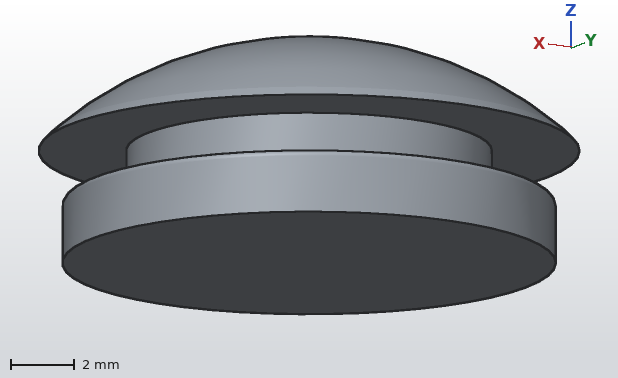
import cadquery as cq

cap_diameter = 17.0
total_height = 7.0

base_diameter = 15.5
base_height = 2.0
base_edge_radius = 0.2
neck_diameter = 11.5
neck_height = 1.6

rim_height = 0.3
dome_diameter = 16.4

cap_bottom = base_height + neck_height
dome_bottom = cap_bottom + rim_height
dome_height = total_height - dome_bottom
dome_radius = ((dome_diameter / 2) ** 2 + dome_height ** 2) / (2 * dome_height)
dome_center = total_height - dome_radius


def make_base():
    """Flat disc with a rounded upper edge."""
    disc = cq.Workplane("XY").circle(base_diameter / 2).extrude(base_height)
    return disc.faces(">Z").edges().fillet(base_edge_radius)


def make_neck():
    """Narrow cylinder from the bottom of the part up to the cap."""
    return cq.Workplane("XY").circle(neck_diameter / 2).extrude(cap_bottom)


def make_cap():
    """Revolved cap with a flat underside, tapered rim and spherical dome."""
    arc_mid_radius = dome_diameter / 4
    arc_mid_height = dome_center + (dome_radius ** 2 - arc_mid_radius ** 2) ** 0.5
    return (
        cq.Workplane("XZ")
        .moveTo(0, cap_bottom)
        .lineTo(cap_diameter / 2, cap_bottom)
        .lineTo(dome_diameter / 2, dome_bottom)
        .threePointArc((arc_mid_radius, arc_mid_height), (0, total_height))
        .close()
        .revolve(360, (0, 0), (0, 1))
    )


result = make_base().union(make_neck()).union(make_cap())